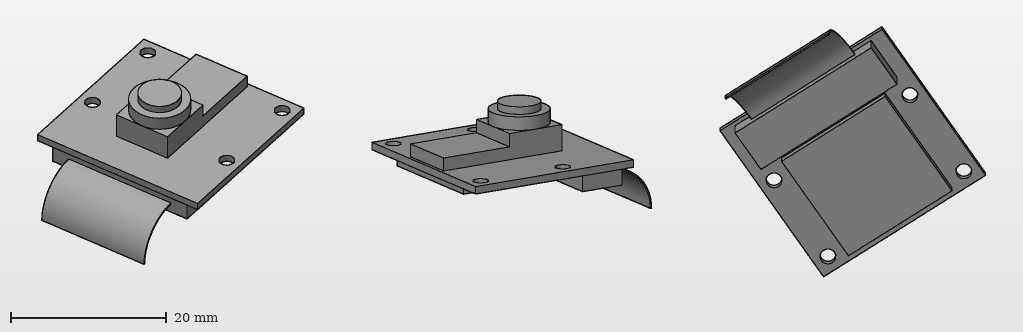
import cadquery as cq

overall_length = 29.6
board_width = 25.0
board_length = 24.0
board_thickness = 1.0
back_edge = board_length / 2

hole_diameter = 2.0
hole_inset = 2.0
hole_row_pitch = 12.5
hole_x = board_width / 2 - hole_inset
back_row_y = back_edge - hole_inset
front_row_y = back_row_y - hole_row_pitch

camera_size = 8.0
camera_base_height = 3.5
barrel_height = 1.8
lens_diameter = 5.62
lens_height = 1.0

lead_inset = 0.5
lead_height = 1.72

connector_width = 21.0
block_width = 15.98
block_inset = 1.0
block_length = 15.5
block_height = 1.25
connector_inset = 0.5
connector_length = 5.98
connector_height = 2.78
connector_front = -board_length / 2 + connector_inset

ribbon_width = 15.98
ribbon_thickness = 0.2
ribbon_outer_radius = overall_length - board_length + connector_inset
ribbon_inner_radius = ribbon_outer_radius - ribbon_thickness
ribbon_drop = 1.27


def box(width, y_min, y_max, z_min, z_max):
    """Box centred on X between the given Y and Z limits."""
    return cq.Workplane("XY").box(
        width, y_max - y_min, z_max - z_min, centered=(True, False, False)
    ).translate((0, y_min, z_min))


def make_board():
    holes = [(x, y) for x in (-hole_x, hole_x) for y in (back_row_y, front_row_y)]
    board = box(board_width, -back_edge, back_edge, 0, board_thickness)
    cutters = cq.Workplane("XY").pushPoints(holes).circle(hole_diameter / 2).extrude(board_thickness)
    return board.cut(cutters)


def make_camera():
    base = cq.Workplane("XY", origin=(0, front_row_y, board_thickness)).rect(camera_size, camera_size)
    barrel = base.extrude(camera_base_height).faces(">Z").workplane().circle(camera_size / 2)
    lens = barrel.extrude(barrel_height).faces(">Z").workplane().circle(lens_diameter / 2)
    return lens.extrude(lens_height)


def make_lead():
    camera_back = front_row_y + camera_size / 2
    lead_top = board_thickness + lead_height
    return box(camera_size, camera_back, back_edge - lead_inset, board_thickness, lead_top)


def make_underside():
    block_back = back_edge - block_inset
    block = box(block_width, block_back - block_length, block_back, -block_height, 0)
    connector_back = connector_front + connector_length
    connector = box(connector_width, connector_front, connector_back, -connector_height, 0)
    return block.union(connector)


def make_ribbon():
    axis_z = -ribbon_drop - ribbon_outer_radius
    bend = cq.Workplane("YZ", origin=(0, connector_front, axis_z))
    ring = bend.circle(ribbon_outer_radius).circle(ribbon_inner_radius).extrude(ribbon_width / 2, both=True)
    quadrant = box(
        ribbon_width, connector_front - ribbon_outer_radius, connector_front, axis_z, -ribbon_drop
    )
    return ring.intersect(quadrant)


result = (
    make_board()
    .union(make_camera())
    .union(make_lead())
    .union(make_underside())
    .union(make_ribbon())
)